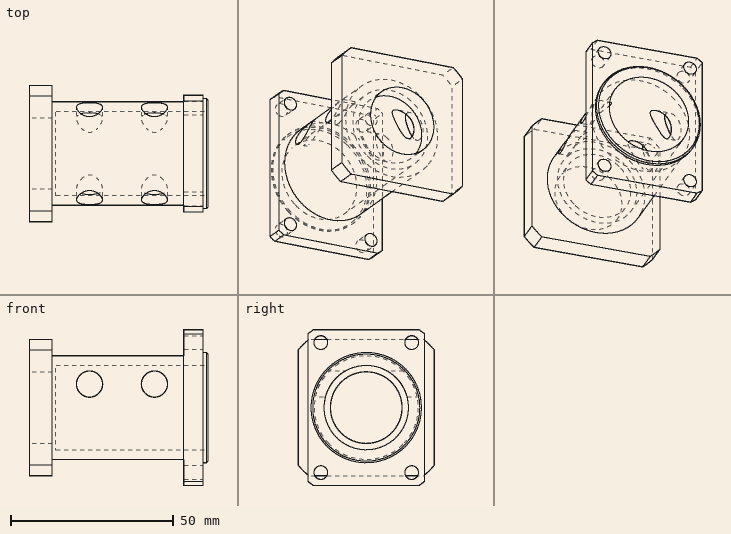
import cadquery as cq

total_length = 55.0
square_plate_thickness = 7.0
flange_start = 47.5
flange_thickness = 6.0
flange_end = flange_start + flange_thickness

square_plate_side = 42.0
square_plate_corner_diameter = 55.0

flange_width = 36.0
flange_height = 48.0
flange_corner_diameter = 58.0
bolt_hole_diameter = 4.2
bolt_spacing_y = 28.0
bolt_spacing_z = 40.0

tube_diameter = 32.0
spigot_diameter = 34.0
spigot_chamfer = 0.5

entry_bore_diameter = 22.0
main_bore_diameter = 26.0
entry_bore_depth = 8.0

cross_hole_diameter = 8.0
cross_hole_height = 7.25
first_cross_hole_x = 18.5
cross_hole_pitch = 20.0
cross_hole_count = 2


def cylinder_along_x(diameter, start, end):
    """Solid cylinder on the X axis between two X positions."""
    return cq.Workplane("YZ", origin=(start, 0, 0)).circle(diameter / 2).extrude(end - start)


def turned_plate(width, height, corner_diameter, start, thickness):
    """Rectangular plate across the X axis with corners cut to a circle."""
    blank = cq.Workplane("YZ", origin=(start, 0, 0)).rect(width, height).extrude(thickness)
    return blank.intersect(cylinder_along_x(corner_diameter, start, start + thickness))


def make_flange():
    """Rectangular flange with four bolt holes."""
    flange = turned_plate(
        flange_width, flange_height, flange_corner_diameter, flange_start, flange_thickness
    )
    bolt_holes = (
        cq.Workplane("YZ", origin=(flange_start, 0, 0))
        .rect(bolt_spacing_y, bolt_spacing_z, forConstruction=True)
        .vertices()
        .circle(bolt_hole_diameter / 2)
        .extrude(flange_thickness)
    )
    return flange.cut(bolt_holes)


def make_spigot():
    """Short locating spigot beyond the flange, with a chamfered rim."""
    return cylinder_along_x(spigot_diameter, flange_end, total_length).faces(">X").chamfer(spigot_chamfer)


def make_bore():
    """Stepped bore: narrow through the square plate end, wider for the rest."""
    entry_bore = cylinder_along_x(entry_bore_diameter, 0, entry_bore_depth)
    main_bore = cylinder_along_x(main_bore_diameter, entry_bore_depth, total_length)
    return entry_bore.union(main_bore)


def make_cross_hole(x):
    """Cutter for one hole crossing the whole tube along Y."""
    return (
        cq.Workplane("XZ", origin=(x, 0, cross_hole_height))
        .circle(cross_hole_diameter / 2)
        .extrude(tube_diameter / 2, both=True)
    )


square_plate = turned_plate(
    square_plate_side, square_plate_side, square_plate_corner_diameter, 0, square_plate_thickness
)
tube = cylinder_along_x(tube_diameter, square_plate_thickness, flange_start)

body = square_plate.union(tube).union(make_flange()).union(make_spigot())
body = body.cut(make_bore())
for index in range(cross_hole_count):
    body = body.cut(make_cross_hole(first_cross_hole_x + index * cross_hole_pitch))

result = body